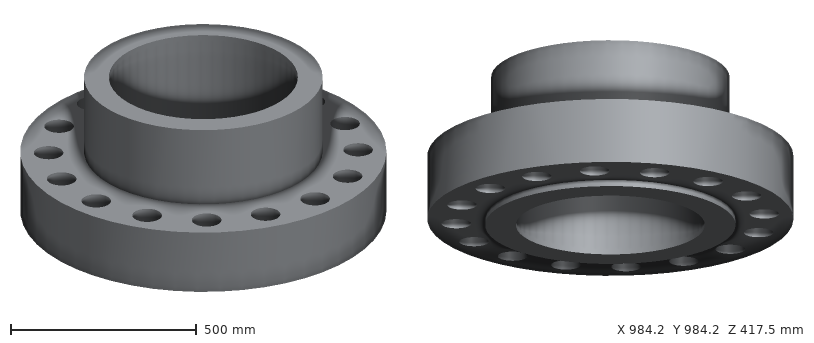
import cadquery as cq

flange_diameter = 984.25
flange_thickness = 177.8
raised_face_diameter = 673.1
raised_face_height = 17.48
neck_diameter = 641.35
neck_height = 222.25
bore_diameter = 508.0

bolt_count = 16
bolt_circle_diameter = 831.85
bolt_hole_diameter = 79.375

overall_height = raised_face_height + flange_thickness + neck_height


def disc(diameter, height, base_z):
    """Solid cylinder about the Z axis, rising from base_z."""
    return cq.Workplane("XY", origin=(0, 0, base_z)).circle(diameter / 2).extrude(height)


def make_body():
    """Raised face, flange plate and straight neck stacked along Z."""
    raised_face = disc(raised_face_diameter, raised_face_height, -raised_face_height)
    flange = disc(flange_diameter, flange_thickness, 0)
    neck = disc(neck_diameter, neck_height, flange_thickness)
    return raised_face.union(flange).union(neck)


def make_bolt_holes():
    """Ring of through holes, the first one on the +X axis."""
    return (
        cq.Workplane("XY")
        .polarArray(bolt_circle_diameter / 2, 0, 360, bolt_count)
        .circle(bolt_hole_diameter / 2)
        .extrude(flange_thickness)
    )


bore = disc(bore_diameter, overall_height, -raised_face_height)
result = make_body().cut(bore).cut(make_bolt_holes())